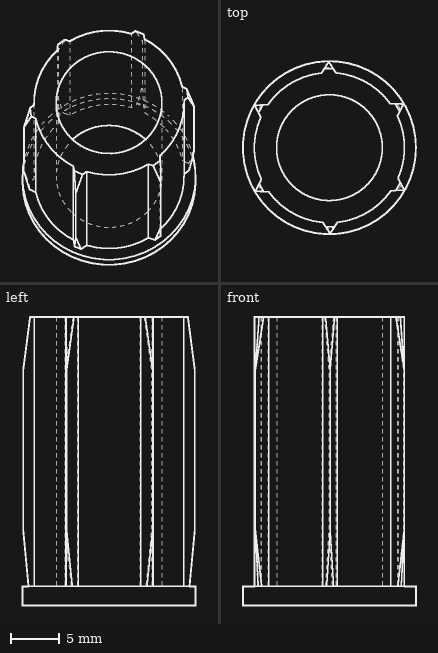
import cadquery as cq
import math

total_height = 30.0
flange_diameter = 18.0
flange_thickness = 2.0
body_diameter = 15.6
bore_diameter = 11.0
floor_thickness = flange_thickness

rib_count = 6
rib_tip_radius = 8.92
rib_half_angle = 33.0
first_rib_angle = 30.5
rib_root_radius = 7.0

top_taper_length = 5.5
top_tip_radius = 8.2
bottom_taper_length = 5.8
bottom_tip_radius = 8.37


def make_flange():
    return cq.Workplane("XY").circle(flange_diameter / 2).extrude(flange_thickness)


def make_body():
    return cq.Workplane("XY").circle(body_diameter / 2).extrude(total_height)


def make_rib():
    """One rib pointing along +X: a triangular prism trimmed by its tapered side profile."""
    root_half_width = (rib_tip_radius - rib_root_radius) * math.tan(math.radians(rib_half_angle))
    prism = (
        cq.Workplane("XY")
        .workplane(offset=flange_thickness)
        .moveTo(rib_root_radius, -root_half_width)
        .lineTo(rib_tip_radius, 0)
        .lineTo(rib_root_radius, root_half_width)
        .close()
        .extrude(total_height - flange_thickness)
    )
    side_profile = (
        cq.Workplane("XZ")
        .moveTo(rib_root_radius, flange_thickness)
        .lineTo(bottom_tip_radius, flange_thickness)
        .lineTo(rib_tip_radius, flange_thickness + bottom_taper_length)
        .lineTo(rib_tip_radius, total_height - top_taper_length)
        .lineTo(top_tip_radius, total_height)
        .lineTo(rib_root_radius, total_height)
        .close()
        .extrude(root_half_width, both=True)
    )
    return prism.intersect(side_profile)


def make_bore():
    bore_depth = total_height - floor_thickness
    return (
        cq.Workplane("XY")
        .workplane(offset=floor_thickness)
        .circle(bore_diameter / 2)
        .extrude(bore_depth)
    )


sleeve = make_flange().union(make_body())
rib = make_rib()
for index in range(rib_count):
    angle = first_rib_angle + index * 360 / rib_count
    sleeve = sleeve.union(rib.rotate((0, 0, 0), (0, 0, 1), angle))

result = sleeve.cut(make_bore())